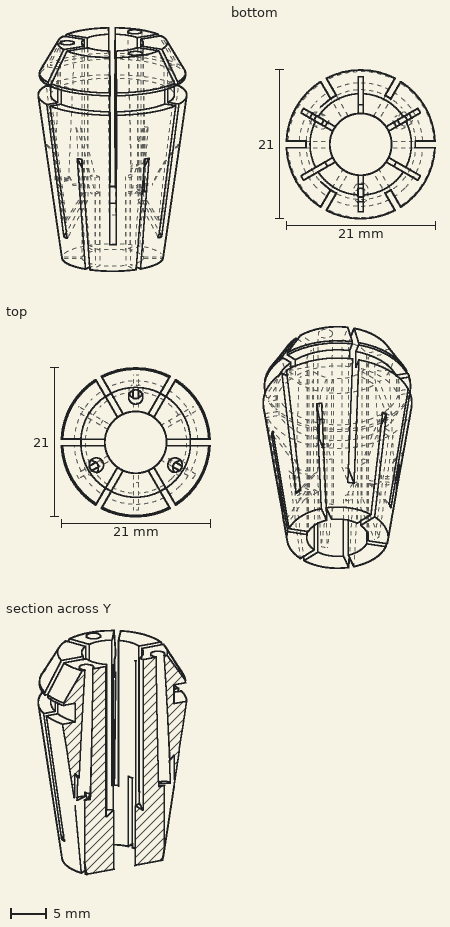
import cadquery as cq
import math

height = 31.5
body_diameter = 21.0
body_taper_angle = 8.0
body_top = 23.85
groove_top = 26.65
rim_top = 27.05
groove_radius = 8.73
head_top_radius = 7.75
head_angle = 30.0
bore_radius = 4.35

slots_per_end = 6
slot_pitch = 360.0 / slots_per_end
top_slot_width = 0.9
top_slot_outer_end = 4.03
top_slot_bore_end = 9.2
base_slot_width = 0.72
base_slot_outer_end = 16.82
base_slot_bore_end = 10.75
base_slot_step_radius = 5.6
base_slot_bulge = 0.3

hole_count = 3
first_hole_angle = 90.0
hole_radius = 1.0
hole_circle_radius = 6.4
hole_depth = 20.0
hole_lean = 2.4

body_radius = body_diameter / 2
body_slope = math.tan(math.radians(body_taper_angle))
base_radius = body_radius - body_top * body_slope
rim_radius = head_top_radius + (height - rim_top) * math.tan(math.radians(head_angle))
clearance = 1.58
slot_reach = body_radius + clearance


def taper_radius(z):
    """Radius of the long taper at height z."""
    return base_radius + z * body_slope


def make_body():
    """Revolve the collet wall from bore to outside."""
    return (
        cq.Workplane("XZ")
        .moveTo(bore_radius, 0)
        .lineTo(base_radius, 0)
        .lineTo(body_radius, body_top)
        .lineTo(groove_radius, body_top)
        .lineTo(groove_radius, groove_top)
        .lineTo(rim_radius, groove_top)
        .lineTo(rim_radius, rim_top)
        .lineTo(head_top_radius, height)
        .lineTo(bore_radius, height)
        .close()
        .revolve(360, (0, 0, 0), (0, 1, 0))
    )


def make_top_slot():
    """Radial slot along +X, open at the top, with a floor that rises towards the bore."""
    return (
        cq.Workplane("XZ")
        .moveTo(0, height + clearance)
        .lineTo(0, top_slot_bore_end)
        .lineTo(bore_radius, top_slot_bore_end)
        .lineTo(taper_radius(top_slot_outer_end), top_slot_outer_end)
        .lineTo(slot_reach, top_slot_outer_end)
        .lineTo(slot_reach, height + clearance)
        .close()
        .extrude(top_slot_width / 2, both=True)
    )


def make_base_slot():
    """Radial slot along +X, open at the base, its end level near the bore and arched outwards."""
    outer_end_radius = taper_radius(base_slot_outer_end)
    return (
        cq.Workplane("XZ")
        .moveTo(0, -clearance)
        .lineTo(0, base_slot_bore_end)
        .lineTo(base_slot_step_radius, base_slot_bore_end)
        .sagittaArc((outer_end_radius, base_slot_outer_end), base_slot_bulge)
        .lineTo(slot_reach, base_slot_outer_end)
        .lineTo(slot_reach, -clearance)
        .close()
        .extrude(base_slot_width / 2, both=True)
    )


def make_hole():
    """Leaning flat-bottomed blind hole on the +X side."""
    lean = math.radians(hole_lean)
    outward = math.sin(lean)
    downward = -math.cos(lean)
    start = cq.Vector(
        hole_circle_radius - clearance * outward,
        0,
        height - clearance * downward,
    )
    return cq.Workplane(
        cq.Solid.makeCylinder(
            hole_radius,
            hole_depth + clearance,
            start,
            cq.Vector(outward, 0, downward),
        )
    )


def cut_around(part, cutter, first_angle, pitch, count):
    """Cut evenly turned copies of a cutter around the Z axis."""
    for index in range(count):
        angle = first_angle + index * pitch
        part = part.cut(cutter.rotate((0, 0, 0), (0, 0, 1), angle))
    return part


result = make_body()
result = cut_around(result, make_top_slot(), 0, slot_pitch, slots_per_end)
result = cut_around(result, make_base_slot(), slot_pitch / 2, slot_pitch, slots_per_end)
result = cut_around(result, make_hole(), first_hole_angle, 360 / hole_count, hole_count)